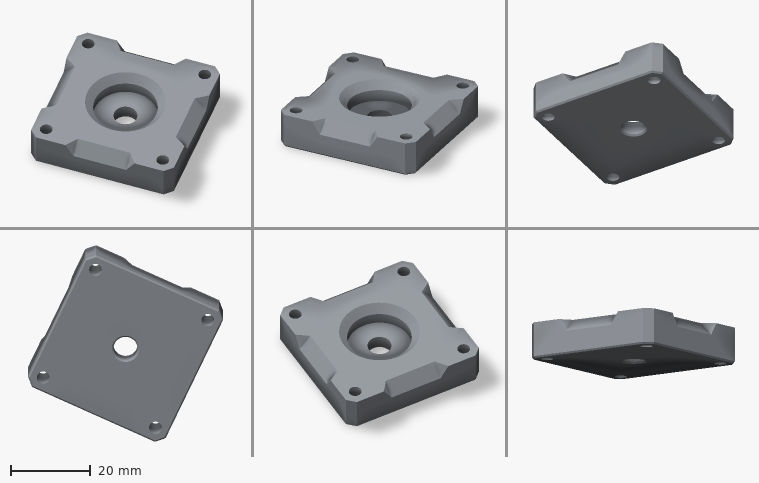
import cadquery as cq

side = 38.0
height = 9.0
corner_chamfer = 2.0
base_chamfer = 0.4

through_diameter = 6.0
bore_diameter = 16.2
bore_depth = 5.0
bore_chamfer = 2.0

mount_hole_diameter = 3.2
mount_hole_spacing = 31.0

notch_inner_width = 14.0
notch_outer_width = 18.43
notch_reach = 3.08
notch_drop = 3.23


def make_plate():
    """Square plate with cut corners and a chamfered lower rim."""
    plate = cq.Workplane("XY").box(side, side, height, centered=(True, True, False))
    plate = plate.edges("|Z").chamfer(corner_chamfer)
    base = plate.faces("<Z").edges()
    return base.chamfer(base_chamfer)


def flat_face(points):
    return cq.Face.makeFromWires(cq.Wire.makePolygon(points, close=True))


def make_notch():
    """Cutter for the -Y edge: a sloping floor between two slanted triangular ends."""
    outer_y = -side / 2
    inner_y = outer_y + notch_reach
    floor_z = height - notch_drop

    def end_points(sign):
        inner_x = sign * notch_inner_width / 2
        outer_x = sign * notch_outer_width / 2
        inner = cq.Vector(inner_x, inner_y, height)
        outer = cq.Vector(outer_x, outer_y, height)
        low = cq.Vector(inner_x, outer_y, floor_z)
        return inner, outer, low

    left_inner, left_outer, left_low = end_points(-1)
    right_inner, right_outer, right_low = end_points(1)
    faces = [
        flat_face([left_inner, left_outer, right_outer, right_inner]),
        flat_face([left_outer, left_low, right_low, right_outer]),
        flat_face([left_inner, right_inner, right_low, left_low]),
        flat_face([left_inner, left_low, left_outer]),
        flat_face([right_inner, right_outer, right_low]),
    ]
    return cq.Workplane(cq.Solid.makeSolid(cq.Shell.makeShell(faces)))


def make_bore():
    """Cutter for the blind bore, its conical mouth and the through hole flared at its lower end."""
    bore_floor = height - bore_depth
    through = cq.Workplane("XY").circle(through_diameter / 2).extrude(height)
    exit_flare = (
        cq.Workplane("XY")
        .circle(through_diameter / 2 + base_chamfer)
        .workplane(offset=base_chamfer)
        .circle(through_diameter / 2)
        .loft()
    )
    bore = cq.Workplane("XY").workplane(offset=bore_floor).circle(bore_diameter / 2).extrude(bore_depth)
    mouth = (
        cq.Workplane("XY")
        .workplane(offset=height - bore_chamfer)
        .circle(bore_diameter / 2)
        .workplane(offset=bore_chamfer)
        .circle(bore_diameter / 2 + bore_chamfer)
        .loft()
    )
    return through.union(exit_flare).union(bore).union(mouth)


def make_mount_holes():
    """Cutters for the four through holes near the corners."""
    return (
        cq.Workplane("XY")
        .rect(mount_hole_spacing, mount_hole_spacing, forConstruction=True)
        .vertices()
        .circle(mount_hole_diameter / 2)
        .extrude(height)
    )


result = make_plate().cut(make_bore()).cut(make_mount_holes())
notch = make_notch()
for turn in (0, 90, 180, 270):
    result = result.cut(notch.rotate((0, 0, 0), (0, 0, 1), turn))